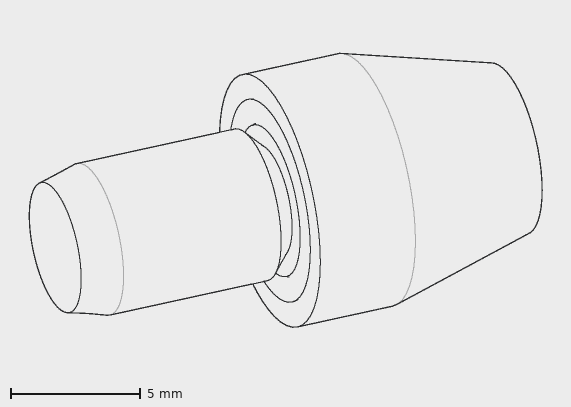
import cadquery as cq
import math

total_length = 19.0
taper_length = 6.0
collar_length = 3.99
shank_chamfer_length = 1.6
neck_length = 0.8

head_radius = 5.0
shank_radius = 3.0
groove_outer_radius = 4.0

taper_angle = math.radians(15)
head_tip_radius = head_radius - taper_length * math.tan(taper_angle)
shank_tip_radius = shank_radius - shank_chamfer_length * math.tan(taper_angle)

neck_face_radius = shank_radius - neck_length

shank_tip_y = -total_length / 2
head_tip_y = total_length / 2
taper_start_y = head_tip_y - taper_length
head_face_y = taper_start_y - collar_length
neck_y = head_face_y - neck_length

groove_depth = (groove_outer_radius - shank_radius) / 2
groove_mid_radius = (groove_outer_radius + shank_radius) / 2

half_profile = (
    cq.Workplane("XY")
    .moveTo(0, shank_tip_y)
    .lineTo(shank_tip_radius, shank_tip_y)
    .lineTo(shank_radius, shank_tip_y + shank_chamfer_length)
    .lineTo(shank_radius, neck_y)
    .lineTo(neck_face_radius, head_face_y)
    .lineTo(shank_radius, head_face_y)
    .threePointArc(
        (groove_mid_radius, head_face_y + groove_depth),
        (groove_outer_radius, head_face_y),
    )
    .lineTo(head_radius, head_face_y)
    .lineTo(head_radius, taper_start_y)
    .lineTo(head_tip_radius, head_tip_y)
    .lineTo(0, head_tip_y)
    .close()
)

result = half_profile.revolve(360, (0, 0, 0), (0, 1, 0))